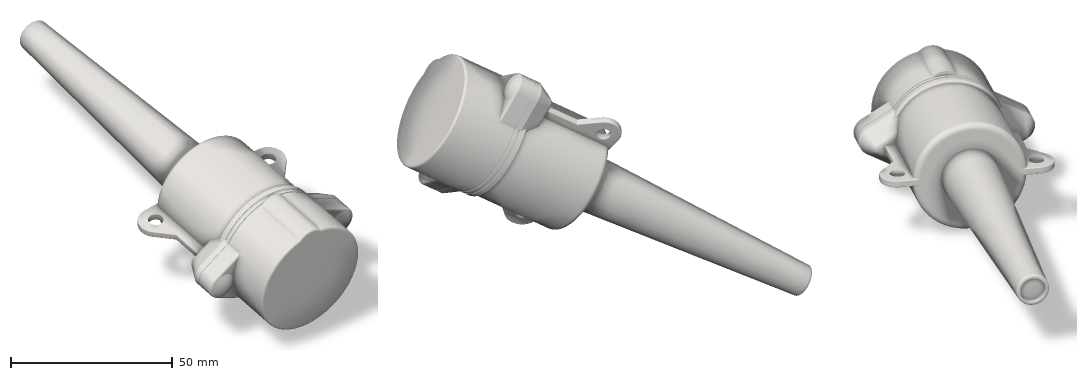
import cadquery as cq
import math


barrel_front = 84.8
flange_front = 115.5
seam_front = 119.5
seam_width = 0.5
collar_front = seam_front + seam_width
rear_end = 140.0

nose_tip_radius = 5.2
nose_base_radius = 9.2
nose_tip_round = 0.8
nose_relief_radius = 9.8
nose_relief_depth = 0.4
tip_hole_radius = 4.0
tip_hole_depth = 2.1

barrel_radius = 18.0
barrel_round = 2.0
collar_radius = 19.0
flange_round = 0.8
collar_rear_round = 0.7
groove_depth = 0.3
grooves = [(117.9, 0.8), (seam_front, seam_width)]

rib_radius = 5.6
rib_top = 20.3

lug_reach = 28.0
lug_tip_radius = 4.9
lug_flank_angle = 30.0
lug_front = 111.0
lug_shoulder = 117.6
lug_rear = 125.7
lug_front_inset = 3.5
lug_front_round = 2.0
lug_rear_round = 0.7
lug_seam_depth = 0.1
lug_root = 11.2
lug_tip_center = lug_reach - lug_tip_radius

dome_radius = 4.2
dome_height = 1.1
dome_sink = 1.4

ear_thickness = 2.2
ear_edge_round = 0.3
ear_radius = 5.6
ear_hole_radius = 2.4
ear_center_y = 22.1
ear_center_x = barrel_front + ear_radius
ear_foot_x = 99.7
web_edge = 21.3
web_end = 114.8
ear_root = 14.0

match_tolerance = 0.01


def disc(radius, front, length):
    """Cylinder on the X axis."""
    return cq.Workplane("YZ").workplane(offset=front).circle(radius).extrude(length)


def round_circle(solid, station, radius, size):
    """Round the circular edge of the given radius that lies at one X station."""

    def matches(edge):
        return (
            edge.geomType() == "CIRCLE"
            and abs(edge.Center().x - station) < match_tolerance
            and abs(edge.radius() - radius) < match_tolerance
        )

    return solid.edges().filter(matches).fillet(size)


def make_turned_body():
    """Nose, barrel and collar from one revolved outline."""
    relief_floor = barrel_front + nose_relief_depth
    outline = [
        (0, 0),
        (0, nose_tip_radius),
        (relief_floor, nose_base_radius),
        (relief_floor, nose_relief_radius),
        (barrel_front, nose_relief_radius),
        (barrel_front, barrel_radius),
        (flange_front, barrel_radius),
        (flange_front, collar_radius),
    ]
    for front, width in grooves:
        outline += [
            (front, collar_radius),
            (front, collar_radius - groove_depth),
            (front + width, collar_radius - groove_depth),
            (front + width, collar_radius),
        ]
    outline += [(rear_end, collar_radius), (rear_end, 0)]
    body = cq.Workplane("XY").polyline(outline).close().revolve(360, (0, 0, 0), (1, 0, 0))
    body = round_circle(body, 0, nose_tip_radius, nose_tip_round)
    body = round_circle(body, barrel_front, barrel_radius, barrel_round)
    return round_circle(body, flange_front, collar_radius, flange_round)


def add_rib(body):
    """Add the key rib and round the rear rim that it shares with the collar."""
    rib = disc(rib_radius, collar_front, rear_end - collar_front).translate((0, 0, rib_top - rib_radius))
    return body.union(rib).faces(">X").edges().fillet(collar_rear_round)


def lug_outline(station, inset):
    """Rounded wedge pointing along +Y, shrunk evenly by the inset."""
    angle = math.radians(lug_flank_angle)
    radius = lug_tip_radius - inset
    tangent_y = lug_tip_center + radius * math.sin(angle)
    tangent_z = radius * math.cos(angle)
    root_z = tangent_z + (tangent_y - lug_root) * math.tan(angle)
    return (
        cq.Workplane("YZ")
        .workplane(offset=station)
        .moveTo(lug_root, -root_z)
        .lineTo(tangent_y, -tangent_z)
        .threePointArc((lug_tip_center + radius, 0), (tangent_y, tangent_z))
        .lineTo(lug_root, root_z)
        .close()
    )


def make_lug():
    """Lug on the +Y side: a hood that widens to the shoulder, then a straight block."""
    front_wire = lug_outline(lug_front, lug_front_inset).val()
    shoulder_wire = lug_outline(lug_shoulder, 0).val()
    hood = cq.Workplane(cq.Solid.makeLoft([front_wire, shoulder_wire], True))
    hood = hood.faces("<X").edges("not |Z").fillet(lug_front_round)
    block = lug_outline(lug_shoulder, 0).extrude(lug_rear - lug_shoulder)
    block = block.faces(">X").edges("not <Y").fillet(lug_rear_round)
    seam = lug_outline(seam_front, 0).extrude(seam_width)
    seam = seam.cut(lug_outline(seam_front, lug_seam_depth).extrude(seam_width))
    return hood.union(block).cut(seam).union(make_dome())


def make_dome():
    """Screw head with a spherical cap, partly sunk into the lug."""
    sphere_radius = (dome_radius**2 + dome_height**2) / (2 * dome_height)
    half_radius = dome_radius / 2
    half_drop = sphere_radius - math.sqrt(sphere_radius**2 - half_radius**2)
    dome_mid = (lug_rear + dome_height - half_drop, half_radius)
    return (
        cq.Workplane("XY")
        .moveTo(lug_rear - dome_sink, 0)
        .lineTo(lug_rear - dome_sink, dome_radius)
        .lineTo(lug_rear, dome_radius)
        .threePointArc(dome_mid, (lug_rear + dome_height, 0))
        .close()
        .revolve(360, (0, 0, 0), (1, 0, 0))
        .translate((0, lug_tip_center, 0))
    )


def make_ear():
    """Flat ear on the +Y side with its hole and the web to the lug."""
    foot_dx = ear_foot_x - ear_center_x
    foot_dy = web_edge - ear_center_y
    touch_angle = math.atan2(foot_dy, foot_dx) + math.acos(ear_radius / math.hypot(foot_dx, foot_dy))
    touch_point = (
        ear_center_x + ear_radius * math.cos(touch_angle),
        ear_center_y + ear_radius * math.sin(touch_angle),
    )
    ear = (
        cq.Workplane("XY")
        .moveTo(barrel_front, ear_root)
        .lineTo(barrel_front, ear_center_y)
        .threePointArc((ear_center_x, ear_center_y + ear_radius), touch_point)
        .lineTo(ear_foot_x, web_edge)
        .lineTo(web_end, web_edge)
        .lineTo(web_end, ear_root)
        .close()
        .extrude(ear_thickness / 2, both=True)
    )
    rim = ear.faces("|Z").edges().filter(lambda edge: edge.Center().y > web_edge - match_tolerance)
    ear = ear.newObject(rim.vals()).fillet(ear_edge_round)
    hole = (
        cq.Workplane("XY")
        .center(ear_center_x, ear_center_y)
        .circle(ear_hole_radius)
        .extrude(ear_thickness, both=True)
    )
    return ear.cut(hole)


body = add_rib(make_turned_body())
body = body.cut(disc(tip_hole_radius, 0, tip_hole_depth))
side = make_lug().union(make_ear())
result = body.union(side).union(side.mirror("XZ"))